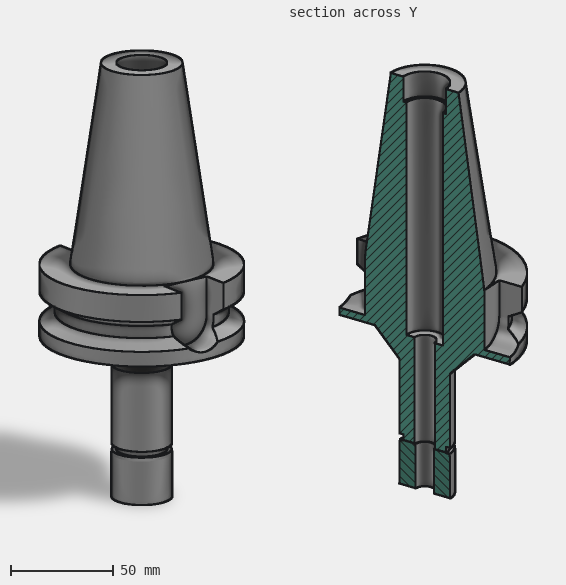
import cadquery as cq

NUT_HEIGHT = 24.2
TOTAL_HEIGHT = 221.8
NECK_BOTTOM = 27.3
CONE_BOTTOM = 67.6
FLANGE_BOTTOM = 82.0
V_GROOVE_BOTTOM = 89.5
V_GROOVE_FLOOR_BOTTOM = 94.3
V_GROOVE_FLOOR_TOP = 100.5
V_GROOVE_TOP = 105.0
FLANGE_TOP = 118.7
TAPER_BOTTOM = 120.0

FLANGE_RADIUS = 100.0 / 2
V_GROOVE_RADIUS = 42.5
TAPER_LARGE_RADIUS = 69.9 / 2
TAPER_SMALL_RADIUS = 20.0
NECK_RADIUS = 14.9
CONE_TOP_RADIUS = NECK_RADIUS + FLANGE_BOTTOM - CONE_BOTTOM
RELIEF_RADIUS = 25.0 / 2

NUT_RADIUS = 30.0 / 2
NUT_CHAMFER_HEIGHT = 2.0
NUT_CHAMFER_WIDTH = 0.33
NUT_BORE_RADIUS = 5.3

MOUTH_RADIUS = 12.5
MOUTH_DEPTH = 13.5
MIDDLE_BORE_RADIUS = 10.6
MIDDLE_BORE_BOTTOM = FLANGE_BOTTOM
THROUGH_BORE_RADIUS = 5.8

SLOT_WIDTH = 26.0
SLOT_FLOOR_OFFSET = 35.0
SLOT_BOTTOM = 86.3


def make_holder_blank():
    """Neck, flange and taper, revolved with the stepped bore already open."""
    mouth_bottom = TOTAL_HEIGHT - MOUTH_DEPTH
    profile = [
        (THROUGH_BORE_RADIUS, NUT_HEIGHT),
        (RELIEF_RADIUS, NUT_HEIGHT),
        (RELIEF_RADIUS, NECK_BOTTOM),
        (NECK_RADIUS, NECK_BOTTOM),
        (NECK_RADIUS, CONE_BOTTOM),
        (CONE_TOP_RADIUS, FLANGE_BOTTOM),
        (FLANGE_RADIUS, FLANGE_BOTTOM),
        (FLANGE_RADIUS, V_GROOVE_BOTTOM),
        (V_GROOVE_RADIUS, V_GROOVE_FLOOR_BOTTOM),
        (V_GROOVE_RADIUS, V_GROOVE_FLOOR_TOP),
        (FLANGE_RADIUS, V_GROOVE_TOP),
        (FLANGE_RADIUS, FLANGE_TOP),
        (TAPER_LARGE_RADIUS, FLANGE_TOP),
        (TAPER_LARGE_RADIUS, TAPER_BOTTOM),
        (TAPER_SMALL_RADIUS, TOTAL_HEIGHT),
        (MOUTH_RADIUS, TOTAL_HEIGHT),
        (MOUTH_RADIUS, mouth_bottom),
        (MIDDLE_BORE_RADIUS, mouth_bottom),
        (MIDDLE_BORE_RADIUS, MIDDLE_BORE_BOTTOM),
        (THROUGH_BORE_RADIUS, MIDDLE_BORE_BOTTOM),
    ]
    return cq.Workplane("XZ").polyline(profile).close().revolve(360, (0, 0), (0, 1))


def make_drive_slot():
    """Cutter on the +X side: round at the bottom, open at the flange top and rim."""
    half_width = SLOT_WIDTH / 2
    arc_center = SLOT_BOTTOM + half_width
    return (
        cq.Workplane("YZ", origin=(SLOT_FLOOR_OFFSET, 0, 0))
        .moveTo(-half_width, TAPER_BOTTOM)
        .lineTo(-half_width, arc_center)
        .threePointArc((0, SLOT_BOTTOM), (half_width, arc_center))
        .lineTo(half_width, TAPER_BOTTOM)
        .close()
        .extrude(FLANGE_RADIUS)
    )


def make_holder():
    holder = make_holder_blank()
    for angle in (0, 180):
        holder = holder.cut(make_drive_slot().rotate((0, 0, 0), (0, 0, 1), angle))
    return holder


def make_nut():
    """Clamping nut against the lower end of the holder, with a slim top chamfer."""
    profile = [
        (NUT_BORE_RADIUS, 0),
        (NUT_RADIUS, 0),
        (NUT_RADIUS, NUT_HEIGHT - NUT_CHAMFER_HEIGHT),
        (NUT_RADIUS - NUT_CHAMFER_WIDTH, NUT_HEIGHT),
        (NUT_BORE_RADIUS, NUT_HEIGHT),
    ]
    return cq.Workplane("XZ").polyline(profile).close().revolve(360, (0, 0), (0, 1))


holder = make_holder()
nut = make_nut()

result = cq.Compound.makeCompound([holder.val(), nut.val()])